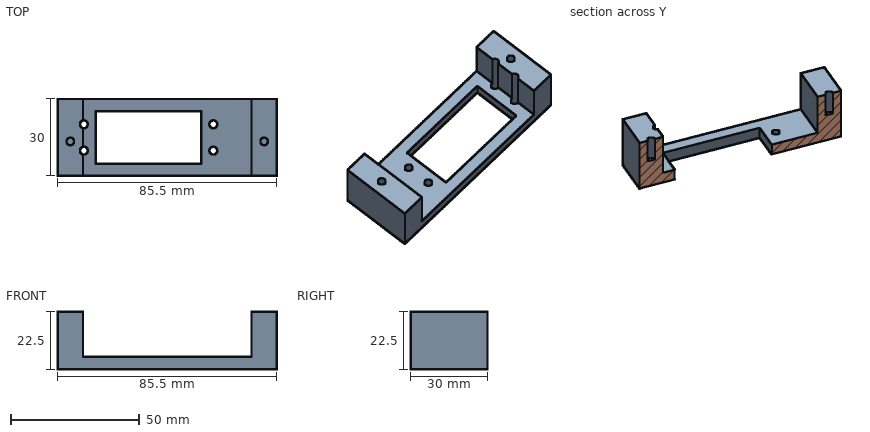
import cadquery as cq

length = 85.5
width = 30.0
height = 22.5
floor_thickness = 5.0
post_length = 10.0

window_length = 41.0
window_width = 20.35
window_start = 15.0
window_center_x = window_start + window_length / 2

hole_diameter = 3.0
screw_spacing_x = 50.45
screw_spacing_y = 10.3

post_hole_depth = 10.0
post_hole_y = -1.5


def make_body():
    """U-shaped bracket: a floor with a post at each end."""
    block = cq.Workplane("XY").box(length, width, height, centered=(False, True, False))
    gap = (
        cq.Workplane("XY")
        .box(length - 2 * post_length, width, height - floor_thickness, centered=(False, True, False))
        .translate((post_length, 0, floor_thickness))
    )
    return block.cut(gap)


def make_window():
    """Cutter for the opening in the floor."""
    return (
        cq.Workplane("XY")
        .center(window_center_x, 0)
        .rect(window_length, window_width)
        .extrude(floor_thickness)
    )


def make_screw_holes():
    """Full-height cutters; the left pair also notches the left post's inner face."""
    return (
        cq.Workplane("XY")
        .center(window_center_x, 0)
        .rect(screw_spacing_x, screw_spacing_y, forConstruction=True)
        .vertices()
        .circle(hole_diameter / 2)
        .extrude(height)
    )


def make_post_holes():
    """Cutters for the blind holes going down from the post tops."""
    first_x = post_length / 2
    return (
        cq.Workplane("XY")
        .workplane(offset=height)
        .pushPoints([(first_x, post_hole_y), (length - first_x, post_hole_y)])
        .circle(hole_diameter / 2)
        .extrude(-post_hole_depth)
    )


result = make_body().cut(make_window()).cut(make_screw_holes()).cut(make_post_holes())